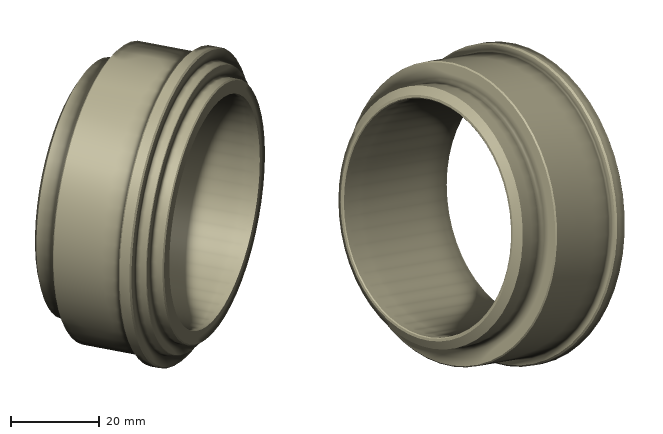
import cadquery as cq
import math

bore_radius = 54.7 / 2
nose_radius = 60.3 / 2
body_radius = 70.0 / 2
flange_radius = 74 / 2
taper_start_radius = 34.05
taper_end_radius = 33.6
collar_radius = 61.5 / 2

shoulder_x = 7.0
flange_start_x = 23.9
flange_end_x = 27.0
taper_end_x = 29.45
total_length = 32.5

bore_chamfer = 0.2
nose_bevel_length = 1.2
nose_bevel_depth = 2.0
shoulder_fillet = 0.95
body_chamfer = 0.3
small_fillet = 0.45
flange_chamfer = 0.4
taper_root_fillet = 0.2
taper_chamfer = 0.15
collar_chamfer = 0.3


def fillet_mid(center_x, center_r, radius, x_side):
    """Midpoint of a concave quarter arc below its center; x_side is +1 or -1."""
    offset = radius * math.sqrt(0.5)
    return (center_x + x_side * offset, center_r - offset)


def nose_and_body(profile):
    """Bevelled nose, filleted shoulder and main cylinder up to the flange."""
    fillet_x = shoulder_x - shoulder_fillet
    fillet_r = nose_radius + shoulder_fillet
    root_x = flange_start_x - small_fillet
    root_r = body_radius + small_fillet
    return (
        profile.lineTo(0, nose_radius - nose_bevel_depth)
        .lineTo(nose_bevel_length, nose_radius)
        .lineTo(fillet_x, nose_radius)
        .threePointArc(fillet_mid(fillet_x, fillet_r, shoulder_fillet, 1), (shoulder_x, fillet_r))
        .lineTo(shoulder_x, body_radius - body_chamfer)
        .lineTo(shoulder_x + body_chamfer, body_radius)
        .lineTo(root_x, body_radius)
        .threePointArc(fillet_mid(root_x, root_r, small_fillet, 1), (flange_start_x, root_r))
    )


def flange(profile):
    """Thin flange chamfered on both rims."""
    rim_edge_radius = flange_radius - flange_chamfer
    return (
        profile.lineTo(flange_start_x, rim_edge_radius)
        .lineTo(flange_start_x + flange_chamfer, flange_radius)
        .lineTo(flange_end_x - flange_chamfer, flange_radius)
        .lineTo(flange_end_x, rim_edge_radius)
    )


def taper_and_collar(profile):
    """Tapered step behind the flange, then the filleted end collar."""
    taper_root_x = flange_end_x + taper_root_fillet
    taper_root_r = taper_start_radius + taper_root_fillet
    root_x = taper_end_x + small_fillet
    root_r = collar_radius + small_fillet
    return (
        profile.lineTo(flange_end_x, taper_root_r)
        .threePointArc(
            fillet_mid(taper_root_x, taper_root_r, taper_root_fillet, -1),
            (taper_root_x, taper_start_radius),
        )
        .lineTo(taper_end_x - taper_chamfer, taper_end_radius)
        .lineTo(taper_end_x, taper_end_radius - taper_chamfer)
        .lineTo(taper_end_x, root_r)
        .threePointArc(fillet_mid(root_x, root_r, small_fillet, -1), (root_x, collar_radius))
        .lineTo(total_length - collar_chamfer, collar_radius)
        .lineTo(total_length, collar_radius - collar_chamfer)
    )


half_section = cq.Workplane("XY").moveTo(bore_chamfer, bore_radius)
half_section = half_section.lineTo(0, bore_radius + bore_chamfer)
half_section = nose_and_body(half_section)
half_section = flange(half_section)
half_section = taper_and_collar(half_section)
half_section = half_section.lineTo(total_length, bore_radius).close()

result = half_section.revolve(360, (0, 0, 0), (1, 0, 0))